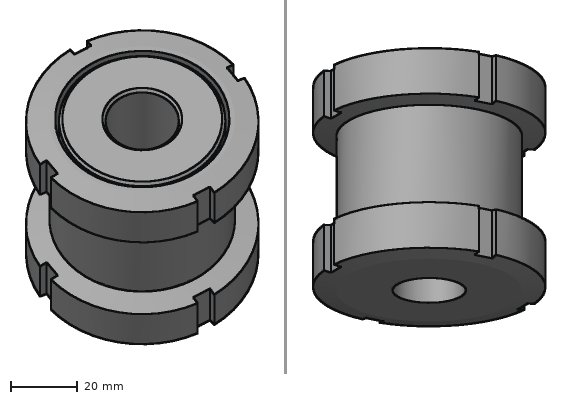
import cadquery as cq

total_height = 66.0

flange_radius = 35.0
flange_height = 16.7
flange_flat_radius = 28.0
flange_bevel_height = 1.05
slot_width = 6.0
slot_floor_radius = 32.5
slot_count = 4

post_radius = 25.05
bore_radius = 11.0
edge_chamfer = 1.0

sleeve_radius = flange_flat_radius
sleeve_height = total_height - flange_height
sleeve_bore_radius = 26.2


def make_flange(bottom_z):
    """Round flange with both faces bevelled outward and slots around its rim."""
    half_profile = [
        (0, 0),
        (flange_flat_radius, 0),
        (flange_radius, flange_bevel_height),
        (flange_radius, flange_height - flange_bevel_height),
        (flange_flat_radius, flange_height),
        (0, flange_height),
    ]
    flange = cq.Workplane("XZ").polyline(half_profile).close().revolve(360, (0, 0), (0, 1))

    cutter_length = flange_radius
    cutter_center = slot_floor_radius + cutter_length / 2
    cutters = (
        cq.Workplane("XY")
        .polarArray(cutter_center, 0, 360, slot_count)
        .rect(cutter_length, slot_width)
        .extrude(flange_height)
    )
    return flange.cut(cutters).translate((0, 0, bottom_z))


def make_base():
    """Lower flange with a chamfered post, bored through."""
    post = cq.Workplane("XY").circle(post_radius).extrude(total_height)
    bore = cq.Workplane("XY").circle(bore_radius).extrude(total_height)
    tube = post.cut(bore).faces(">Z").edges().chamfer(edge_chamfer)
    return make_flange(0).cut(bore).union(tube)


def make_nut():
    """Upper flange with a sleeve that clears the post and rests on the base."""
    sleeve = (
        cq.Workplane("XY", origin=(0, 0, flange_height))
        .circle(sleeve_radius)
        .extrude(sleeve_height)
        .faces("<Z")
        .edges()
        .chamfer(edge_chamfer)
    )
    clearance_hole = cq.Workplane("XY").circle(sleeve_bore_radius).extrude(total_height)
    flange = make_flange(total_height - flange_height)
    return sleeve.union(flange).cut(clearance_hole)


base = make_base()
nut = make_nut()
result = cq.Compound.makeCompound([base.val(), nut.val()])